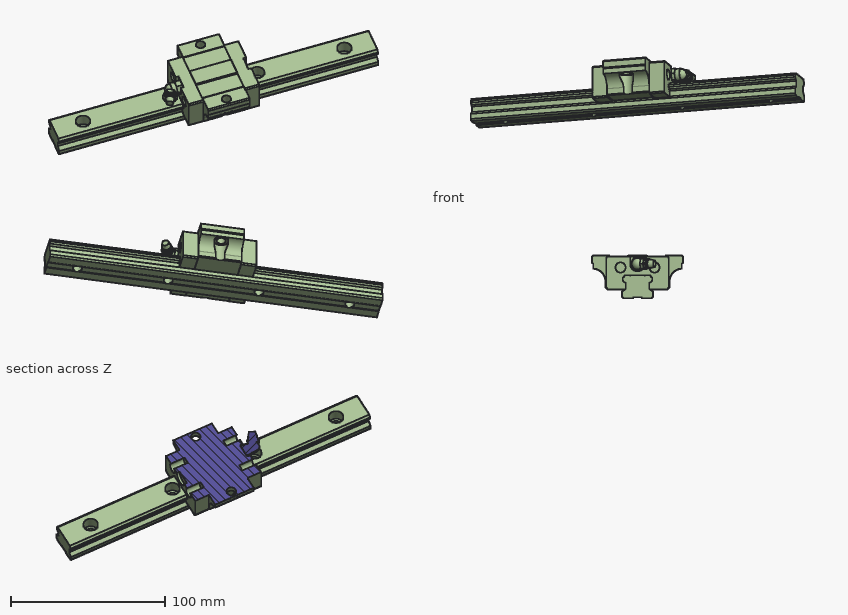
import cadquery as cq
import math


RAIL_LENGTH = 220
RAIL_HEIGHT = 15.0
RAIL_BASE_HALF = 10.1
RAIL_NECK_HALF = 7.5
RAIL_HEAD_HALF = 9.7
RAIL_TOP_HALF = 8.4
BASE_CHAMFER = 1.0
BASE_SIDE_TOP = 4.5
NECK_BOTTOM = 6.4
NECK_TOP = 10.0
UNDERCUT_HALF = 9.0
UNDERCUT_TOP = 10.8
HEAD_BOTTOM = 12.0
HEAD_TOP = 13.5
BALL_GROOVE_SAG = 0.2
RELIEF_HALF = 2.6
RELIEF_DEPTH = 0.7

RAIL_HOLE_PITCH = 60.0
RAIL_HOLE_COUNT = 4
FIRST_RAIL_HOLE_INSET = 20.0
RAIL_HOLE_DIAMETER = 6.0
RAIL_BORE_DIAMETER = 9.5
RAIL_BORE_DEPTH = 8.5

GUIDE_HEIGHT = 28.0
BLOCK_LENGTH = 28.5
FLANGE_HALF = 29.5
FLANGE_CHAMFER = 0.9
FLANGE_LIP_HALF = 28.8
FLANGE_STEP_TOP = 23.0
FLANGE_STEP_BOTTOM = 22.5
FLANGE_BOTTOM = 19.1
BODY_HALF = 21.0
BODY_BOTTOM = 6.5
BODY_CHAMFER = 0.7
FLANGE_FILLET = 8.0

CHANNEL_DEPTH = 0.7
LAND_BASE_HALF = 6.4
LAND_TOP_HALF = 5.7
CHANNEL_OUTER = 18.3

MOUNT_HOLE_X = 24.5
MOUNT_HOLE_DIAMETER = 6.0
MOUNT_CLEARANCE_RADIUS = 4.6

CARRIAGE_LENGTH = 48.6
CAP_LENGTH = (CARRIAGE_LENGTH - BLOCK_LENGTH) / 2
CAP_HALF = 20.2
CAP_BOTTOM = 5.7
CAP_TOP = 27.0
CAP_CHAMFER = 0.9
CAP_HOLE_X = 11.0
CAP_HOLE_Z = 20.0
CAP_HOLE_DIAMETER = 6.5
NOTCH_RADIUS = 4.8
NOTCH_DEPTH = 2.0

NIPPLE_Z = 22.5
HEX_SIDES = 6
HEX_ACROSS_CORNERS = 8.8
HEX_LENGTH = 4.0
COLLAR_RADIUS = 4.0
COLLAR_LENGTH = 3.3
BALL_RADIUS = 3.7
SPOUT_ANGLE = 22.5
SPOUT_HEX_ACROSS_CORNERS = 8.0
SPOUT_HEX_START = 3.0
SPOUT_HEX_END = 5.3
TIP_SHANK_RADIUS = 3.3
TIP_SHANK_END = 6.5
TIP_GROOVE_RADIUS = 2.9
TIP_GROOVE_START = 7.5
TIP_GROOVE_END = 8.1
TIP_HEAD_RADIUS = 3.0
TIP_END_RADIUS = 2.2
TIP_END = 11.9
NOTCH_BACK_Y = -CARRIAGE_LENGTH / 2 + NOTCH_DEPTH


def along_y(length):
    """Sketch plane whose extrusion of the given length is centred on Y = 0."""
    return cq.Workplane("XZ", origin=(0, length / 2, 0))


def rail_bar(length):
    """Bar of the rail section without bolt holes."""
    groove_x = (RAIL_HEAD_HALF + RAIL_TOP_HALF) / 2 - BALL_GROOVE_SAG
    groove_z = (HEAD_TOP + RAIL_HEIGHT) / 2 - BALL_GROOVE_SAG
    return (
        along_y(length)
        .moveTo(0, RELIEF_DEPTH)
        .lineTo(RELIEF_HALF, RELIEF_DEPTH)
        .lineTo(RELIEF_HALF, 0)
        .lineTo(RAIL_BASE_HALF - BASE_CHAMFER, 0)
        .lineTo(RAIL_BASE_HALF, BASE_CHAMFER)
        .lineTo(RAIL_BASE_HALF, BASE_SIDE_TOP)
        .lineTo(RAIL_NECK_HALF, NECK_BOTTOM)
        .lineTo(RAIL_NECK_HALF, NECK_TOP)
        .lineTo(UNDERCUT_HALF, UNDERCUT_TOP)
        .lineTo(RAIL_HEAD_HALF, HEAD_BOTTOM)
        .lineTo(RAIL_HEAD_HALF, HEAD_TOP)
        .threePointArc((groove_x, groove_z), (RAIL_TOP_HALF, RAIL_HEIGHT))
        .lineTo(0, RAIL_HEIGHT)
        .mirrorY()
        .extrude(length)
    )


def make_rail():
    """Rail with counterbored bolt holes along its top."""
    first_hole_y = FIRST_RAIL_HOLE_INSET - RAIL_LENGTH / 2
    holes = [(0, first_hole_y + i * RAIL_HOLE_PITCH) for i in range(RAIL_HOLE_COUNT)]
    return (
        rail_bar(RAIL_LENGTH)
        .faces(">Z")
        .workplane(origin=(0, 0, 0))
        .pushPoints(holes)
        .cboreHole(RAIL_HOLE_DIAMETER, RAIL_BORE_DIAMETER, RAIL_BORE_DEPTH)
    )


def make_block():
    """Flanged middle of the carriage, with shallow channels on top and a bolt hole in each flange."""
    floor = GUIDE_HEIGHT - CHANNEL_DEPTH
    fillet_x = BODY_HALF + FLANGE_FILLET
    fillet_z = FLANGE_BOTTOM - FLANGE_FILLET
    diagonal = FLANGE_FILLET * math.sqrt(0.5)
    block = (
        along_y(BLOCK_LENGTH)
        .moveTo(0, BODY_BOTTOM)
        .lineTo(BODY_HALF - BODY_CHAMFER, BODY_BOTTOM)
        .lineTo(BODY_HALF, BODY_BOTTOM + BODY_CHAMFER)
        .lineTo(BODY_HALF, fillet_z)
        .threePointArc((fillet_x - diagonal, fillet_z + diagonal), (fillet_x, FLANGE_BOTTOM))
        .lineTo(FLANGE_LIP_HALF, FLANGE_STEP_BOTTOM)
        .lineTo(FLANGE_HALF, FLANGE_STEP_TOP)
        .lineTo(FLANGE_HALF, GUIDE_HEIGHT - FLANGE_CHAMFER)
        .lineTo(FLANGE_HALF - FLANGE_CHAMFER, GUIDE_HEIGHT)
        .lineTo(CHANNEL_OUTER, GUIDE_HEIGHT)
        .lineTo(CHANNEL_OUTER, floor)
        .lineTo(LAND_BASE_HALF, floor)
        .lineTo(LAND_TOP_HALF, GUIDE_HEIGHT)
        .lineTo(0, GUIDE_HEIGHT)
        .mirrorY()
        .extrude(BLOCK_LENGTH)
    )
    for x in (-MOUNT_HOLE_X, MOUNT_HOLE_X):
        hole = cq.Workplane("XY").center(x, 0).circle(MOUNT_HOLE_DIAMETER / 2).extrude(GUIDE_HEIGHT)
        clearance = cq.Workplane("XY").center(x, 0).circle(MOUNT_CLEARANCE_RADIUS).extrude(FLANGE_BOTTOM)
        block = block.cut(hole).cut(clearance)
    return block


def make_cap():
    """End cap at the -Y end of the block."""
    face_y = -CARRIAGE_LENGTH / 2
    cap_height = CAP_TOP - CAP_BOTTOM
    cap = (
        cq.Workplane("XY")
        .box(2 * CAP_HALF, CAP_LENGTH, cap_height, centered=(True, False, False))
        .edges("|Y")
        .chamfer(CAP_CHAMFER)
        .translate((0, face_y, CAP_BOTTOM))
    )
    face = cq.Workplane("XZ", origin=(0, face_y, 0))
    holes = (
        face.pushPoints([(-CAP_HOLE_X, CAP_HOLE_Z), (CAP_HOLE_X, CAP_HOLE_Z)])
        .circle(CAP_HOLE_DIAMETER / 2)
        .extrude(-CAP_LENGTH)
    )
    notch = (
        face.moveTo(-NOTCH_RADIUS, CAP_TOP)
        .lineTo(-NOTCH_RADIUS, NIPPLE_Z)
        .threePointArc((0, NIPPLE_Z - NOTCH_RADIUS), (NOTCH_RADIUS, NIPPLE_Z))
        .lineTo(NOTCH_RADIUS, CAP_TOP)
        .close()
        .extrude(-NOTCH_DEPTH)
    )
    return cap.cut(holes).cut(notch)


def make_carriage():
    """Block and two end caps in one piece, with a channel that fits the rail."""
    cap = make_cap()
    carriage = make_block().union(cap).union(cap.mirror("XZ"))
    return carriage.cut(rail_bar(CARRIAGE_LENGTH))


def make_spout(elbow_y):
    """Hexagonal stem with a turned tip, pointing to +X and -Y from the elbow."""
    angle = math.radians(SPOUT_ANGLE)
    elbow = (0, elbow_y, NIPPLE_Z)
    along = (math.cos(angle), -math.sin(angle), 0)
    across = (math.sin(angle), math.cos(angle), 0)
    stem = (
        cq.Workplane(cq.Plane(origin=elbow, xDir=across, normal=along))
        .workplane(offset=SPOUT_HEX_START)
        .polygon(HEX_SIDES, SPOUT_HEX_ACROSS_CORNERS)
        .extrude(SPOUT_HEX_END - SPOUT_HEX_START)
    )
    tip_outline = [
        (0, SPOUT_HEX_END),
        (TIP_SHANK_RADIUS, SPOUT_HEX_END),
        (TIP_SHANK_RADIUS, TIP_SHANK_END),
        (TIP_GROOVE_RADIUS, TIP_GROOVE_START),
        (TIP_GROOVE_RADIUS, TIP_GROOVE_END),
        (TIP_HEAD_RADIUS, TIP_GROOVE_END),
        (TIP_END_RADIUS, TIP_END),
        (0, TIP_END),
    ]
    tip = (
        cq.Workplane(cq.Plane(origin=elbow, xDir=(0, 0, 1), normal=across))
        .polyline(tip_outline)
        .close()
        .revolve(360, (0, 0), (0, 1))
    )
    return stem.union(tip)


def make_nipple():
    """Grease nipple standing on the back of the cap notch: hexagon, collar, ball elbow and spout."""
    hexagon = (
        cq.Workplane("XZ", origin=(0, NOTCH_BACK_Y, NIPPLE_Z))
        .polygon(HEX_SIDES, HEX_ACROSS_CORNERS)
        .extrude(HEX_LENGTH)
    )
    collar = hexagon.faces("<Y").workplane().circle(COLLAR_RADIUS).extrude(COLLAR_LENGTH)
    ball_y = NOTCH_BACK_Y - HEX_LENGTH - COLLAR_LENGTH
    ball = cq.Workplane("XY").sphere(BALL_RADIUS).translate((0, ball_y, NIPPLE_Z))
    return collar.union(ball).union(make_spout(ball_y))


rail = make_rail()
carriage = make_carriage()
grease_nipple = make_nipple()

result = cq.Compound.makeCompound([rail.val(), carriage.val(), grease_nipple.val()])